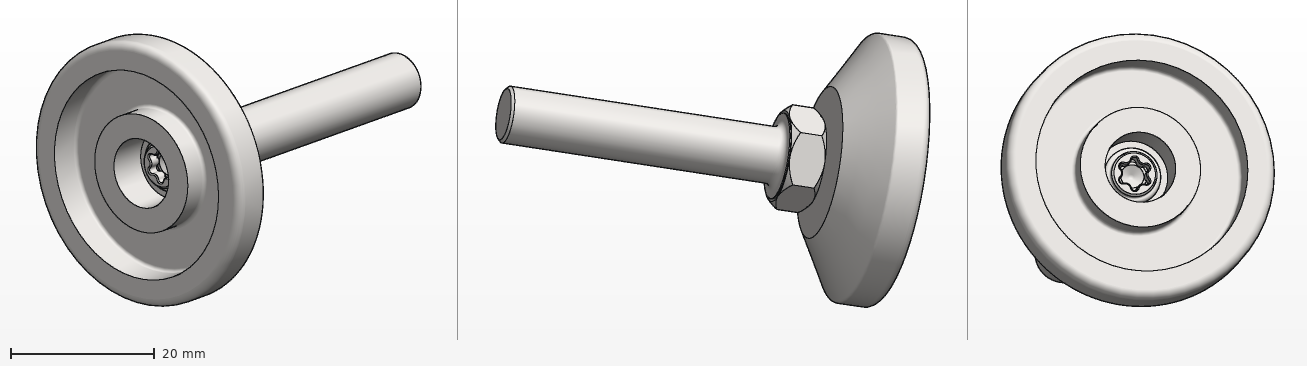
import cadquery as cq
import math


foot_diameter = 38.0
foot_radius = foot_diameter / 2
rim_corner_height = 5.05
rim_edge_fillet = 1.2
rim_corner_fillet = 0.5
foot_height = 10.4
foot_top_radius = 10.7

recess_radius = 15.05
recess_depth = 4.6
recess_fillet = 0.5
boss_radius = 8.55
boss_face_height = 1.0
bore_diameter = 10.0
bore_radius = bore_diameter / 2
bore_floor_height = 6.7

neck_radius = 2.05
flange_radius = 4.0
flange_thickness = 0.55
flange_fillet = 0.5
pilot_radius = 3.2
pilot_length = 1.1
pilot_root_fillet = 0.2
pilot_chamfer = 0.3

lobe_count = 6
socket_tip_radius = 2.4
socket_valley_radius = 1.7
socket_lobe_radius = 0.45
socket_depth = 1.7
socket_mouth_chamfer = 0.15
socket_cone_radius = 1.65
socket_cone_depth = 0.95

hex_across_flats = 12.75
hex_base_height = 11.4
hex_top_height = 16.5
collar_radius = 6.05
collar_top_height = 16.65
shank_radius = 4.0
shank_root_fillet = 1.0
shank_end_chamfer = 0.4
stud_top_height = 56.5

hex_corner_radius = hex_across_flats / math.sqrt(3)
hex_end_radius = hex_across_flats / 2
hex_corner_chamfer = hex_corner_radius - hex_end_radius
flange_face_height = bore_floor_height - flange_thickness
pilot_face_height = flange_face_height - pilot_length


def revolved(profile):
    """Turn a closed (radius, height) profile around the Y axis."""
    return profile.close().revolve(360, (0, 0, 0), (0, 1, 0))


def cylinder(radius, bottom, top):
    """Cylinder on the Y axis between two heights."""
    return revolved(
        cq.Workplane("XY").moveTo(0, bottom).lineTo(radius, bottom).lineTo(radius, top).lineTo(0, top)
    )


def circles_at(radius, height):
    """Selector for the circular edges of one radius around the Y axis at one height."""
    tolerance = 0.005
    reach = radius + tolerance
    inner = radius - tolerance
    outside = cq.selectors.BoxSelector(
        (-reach, height - tolerance, -reach), (reach, height + tolerance, reach), boundingbox=True
    )
    inside = cq.selectors.BoxSelector(
        (-inner, height - tolerance, -inner), (inner, height + tolerance, inner), boundingbox=True
    )
    return outside - inside


def make_foot():
    """Round foot with a ring recess and a bored boss underneath."""
    foot = revolved(
        cq.Workplane("XY")
        .moveTo(neck_radius, foot_height)
        .lineTo(neck_radius, bore_floor_height)
        .lineTo(bore_radius, bore_floor_height)
        .lineTo(bore_radius, boss_face_height)
        .lineTo(boss_radius, boss_face_height)
        .lineTo(boss_radius, recess_depth)
        .lineTo(recess_radius, recess_depth)
        .lineTo(recess_radius, 0)
        .lineTo(foot_radius, 0)
        .lineTo(foot_radius, rim_corner_height)
        .lineTo(foot_top_radius, foot_height)
    )
    foot = foot.edges(circles_at(foot_radius, 0)).fillet(rim_edge_fillet)
    foot = foot.edges(circles_at(foot_radius, rim_corner_height)).fillet(rim_corner_fillet)
    foot = foot.edges(circles_at(recess_radius, recess_depth)).fillet(recess_fillet)
    return foot.edges(circles_at(boss_radius, recess_depth)).fillet(recess_fillet)


def make_head():
    """Rounded flange under the foot, with a stepped pilot below it."""
    flange = cylinder(flange_radius, flange_face_height, bore_floor_height)
    pilot = cylinder(pilot_radius, pilot_face_height, bore_floor_height)
    head = flange.union(pilot)
    head = head.edges(circles_at(pilot_radius, flange_face_height)).fillet(pilot_root_fillet)
    head = head.edges(circles_at(flange_radius, flange_face_height)).fillet(flange_fillet)
    return head.edges(circles_at(pilot_radius, pilot_face_height)).chamfer(pilot_chamfer)


def socket_outline(height, growth):
    """Six-lobed outline of tangent arcs at a height, offset outwards by the growth; lobes on +-Z."""
    half_pitch = math.pi / lobe_count
    lobe_centre = socket_tip_radius - socket_lobe_radius
    bulge_radius = (
        lobe_centre**2
        + socket_valley_radius**2
        - 2 * lobe_centre * socket_valley_radius * math.cos(half_pitch)
        - socket_lobe_radius**2
    ) / (2 * (socket_lobe_radius - socket_valley_radius + lobe_centre * math.cos(half_pitch)))
    bulge_centre = socket_valley_radius + bulge_radius

    share = (socket_lobe_radius + growth) / (socket_lobe_radius + bulge_radius)
    tangent_along = lobe_centre + share * (bulge_centre * math.cos(half_pitch) - lobe_centre)
    tangent_across = share * bulge_centre * math.sin(half_pitch)
    tangent_radius = math.hypot(tangent_along, tangent_across)
    tangent_angle = math.atan2(tangent_across, tangent_along)

    def point(radius, angle):
        return cq.Vector(radius * math.sin(angle), height, radius * math.cos(angle))

    arcs = []
    for lobe in range(lobe_count):
        tip_angle = 2 * half_pitch * lobe
        valley_angle = tip_angle + half_pitch
        lobe_start = point(tangent_radius, tip_angle - tangent_angle)
        lobe_tip = point(socket_tip_radius + growth, tip_angle)
        lobe_end = point(tangent_radius, tip_angle + tangent_angle)
        valley = point(socket_valley_radius + growth, valley_angle)
        next_start = point(tangent_radius, valley_angle + half_pitch - tangent_angle)
        arcs.append(cq.Edge.makeThreePointArc(lobe_start, lobe_tip, lobe_end))
        arcs.append(cq.Edge.makeThreePointArc(lobe_end, valley, next_start))
    return cq.Wire.assembleEdges(arcs)


def make_socket():
    """Cutter for the driver socket: flared mouth, lobed well and conical bottom."""
    mouth_height = pilot_face_height + socket_mouth_chamfer
    floor_height = pilot_face_height + socket_depth
    mouth = cq.Solid.makeLoft(
        [socket_outline(pilot_face_height, socket_mouth_chamfer), socket_outline(mouth_height, 0)], True
    )
    well = cq.Solid.extrudeLinear(
        socket_outline(mouth_height, 0), [], cq.Vector(0, floor_height - mouth_height, 0)
    )
    cone = cq.Solid.makeCone(
        socket_cone_radius, 0, socket_cone_depth, cq.Vector(0, floor_height, 0), cq.Vector(0, 1, 0)
    )
    return cq.Workplane(mouth).union(cq.Workplane(well)).union(cq.Workplane(cone))


def make_hexagon():
    """Hexagon with corners on +-X, trimmed by a 45 degree cone at each end."""
    prism = (
        cq.Workplane("XZ", origin=(0, hex_base_height, 0))
        .polygon(6, 2 * hex_corner_radius)
        .extrude(hex_base_height - hex_top_height)
    )
    trim = revolved(
        cq.Workplane("XY")
        .moveTo(0, hex_base_height)
        .lineTo(hex_end_radius, hex_base_height)
        .lineTo(hex_corner_radius, hex_base_height + hex_corner_chamfer)
        .lineTo(hex_corner_radius, hex_top_height - hex_corner_chamfer)
        .lineTo(hex_end_radius, hex_top_height)
        .lineTo(0, hex_top_height)
    )
    return prism.intersect(trim)


def make_shank():
    """Plain shank flaring onto a thin collar on the hexagon, chamfered at its free end."""
    return revolved(
        cq.Workplane("XY")
        .moveTo(0, hex_top_height)
        .lineTo(collar_radius, hex_top_height)
        .lineTo(collar_radius, collar_top_height)
        .lineTo(shank_radius + shank_root_fillet, collar_top_height)
        .radiusArc((shank_radius, collar_top_height + shank_root_fillet), shank_root_fillet)
        .lineTo(shank_radius, stud_top_height - shank_end_chamfer)
        .lineTo(shank_radius - shank_end_chamfer, stud_top_height)
        .lineTo(0, stud_top_height)
    )


def make_stud():
    """One-piece stud: head, neck through the foot, hexagon and shank."""
    neck = cylinder(neck_radius, bore_floor_height, hex_base_height)
    stud = make_head().union(neck).union(make_hexagon()).union(make_shank())
    return stud.cut(make_socket())


foot = make_foot()
stud = make_stud()

result = cq.Compound.makeCompound([foot.val(), stud.val()])